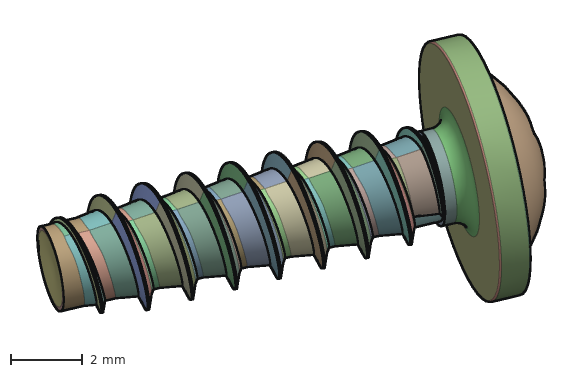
import cadquery as cq
import math


flange_radius = 7.5 / 2
flange_height = 0.92
flange_edge_fillet = 0.05
dome_base_radius = 2.98
dome_top = 2.36
slot_width = 0.9
slot_floor = 2.05

shank_length = 12.0
neck_radius = 1.365
neck_length = 0.85
neck_fillet = 0.5
core_radius = 1.226
tip_cone_radius = 1.1
tip_cone_depth = 0.1

thread_radius = 3.5 / 2
pitch = 1.288
points_per_turn = 12
crest_half_width = 0.03
crest_root_radius = 1.1
head_flank_knee_radius = 1.34
head_flank_knee_offset = 0.215
head_flank_root_offset = 0.39
tip_flank_root_offset = 0.24
ramp_high_radius = 1.345
ramp_low_radius = 1.22
ramp_length = 0.86
ramp_root_radius = 1.2

first_crest = -1.02
thread_start_turn = -0.25
start_lead = 0.4
lead_in_end_turn = 1
lead_in_slope = 0.22
lead_out_start_turn = 7
lead_out_slope = 0.35
thread_end_turn = 8.3
ramp_fade_slope = 0.08


def make_head():
    """Flange with softened rims under a spherical dome."""
    flange = (
        cq.Workplane("XZ")
        .circle(flange_radius)
        .extrude(-flange_height)
        .edges()
        .fillet(flange_edge_fillet)
    )
    dome_height = dome_top - flange_height
    sphere_radius = (dome_base_radius**2 + dome_height**2) / (2 * dome_height)
    sphere_center = dome_top - sphere_radius
    middle_angle = math.asin(dome_base_radius / sphere_radius) / 2
    arc_middle = (
        sphere_center + sphere_radius * math.cos(middle_angle),
        sphere_radius * math.sin(middle_angle),
    )
    dome_foot = flange_height / 2
    dome = (
        cq.Workplane("YZ")
        .moveTo(dome_foot, 0)
        .lineTo(dome_foot, dome_base_radius)
        .lineTo(flange_height, dome_base_radius)
        .threePointArc(arc_middle, (dome_top, 0))
        .close()
        .revolve(360, (0, 0), (1, 0))
    )
    return flange.union(dome)


def cut_cross_slots(head):
    """Two crossing slots over the full width of the dome."""
    slot_length = 2 * flange_radius
    slot_depth = dome_top - slot_floor
    for length_x, length_z in ((slot_length, slot_width), (slot_width, slot_length)):
        slot = cq.Workplane("XZ", origin=(0, slot_floor, 0)).rect(length_x, length_z)
        head = head.cut(slot.extrude(-slot_depth))
    return head


def make_shank():
    """Filleted neck and cylindrical core, with a shallow conical hollow in the tip."""
    fillet_outer = neck_radius + neck_fillet
    fillet_middle = neck_fillet * (1 - math.sqrt(0.5))
    embed = flange_height / 2
    return (
        cq.Workplane("YZ")
        .moveTo(embed, 0)
        .lineTo(embed, fillet_outer)
        .lineTo(0, fillet_outer)
        .threePointArc((-fillet_middle, neck_radius + fillet_middle), (-neck_fillet, neck_radius))
        .lineTo(-neck_length, neck_radius)
        .lineTo(-neck_length, core_radius)
        .lineTo(-shank_length, core_radius)
        .lineTo(-shank_length, tip_cone_radius)
        .lineTo(tip_cone_depth - shank_length, 0)
        .close()
        .revolve(360, (0, 0), (1, 0))
    )


def crest_axial(turn):
    """Axial position of the crest, with a flatter lead before the first full turn."""
    if turn < 0:
        return first_crest - start_lead * turn
    return first_crest - pitch * turn


def crest_drop(turn):
    """How far the crest sinks below the full thread radius near the two thread ends."""
    lead_in = lead_in_slope * (lead_in_end_turn - turn)
    lead_out = lead_out_slope * (turn - lead_out_start_turn)
    return max(0, lead_in, lead_out)


def ramp_drop(turn):
    """How far the ramp sinks into the core as the thread runs out at the tip."""
    return max(0, ramp_fade_slope * (turn - lead_out_start_turn))


def helical_ridge(profile, drop):
    """Right-handed solid around Y with a closed (axial offset, radius) profile, sewn turn by turn."""

    def point(turn, corner):
        offset, radius = corner
        angle = 2 * math.pi * turn
        local_radius = radius - drop(turn)
        return cq.Vector(
            -local_radius * math.sin(angle),
            crest_axial(turn) + offset,
            local_radius * math.cos(angle),
        )

    def helix(start, end, corner):
        steps = [start + (end - start) * i / points_per_turn for i in range(points_per_turn + 1)]
        return cq.Edge.makeSpline([point(turn, corner) for turn in steps])

    def end_cap(turn):
        corners = [point(turn, corner) for corner in profile]
        return cq.Face.makeFromWires(cq.Wire.makePolygon(corners, close=True))

    breaks = [thread_start_turn, *range(math.ceil(thread_end_turn)), thread_end_turn]
    faces = [end_cap(thread_start_turn), end_cap(thread_end_turn)]
    for start, end in zip(breaks, breaks[1:]):
        helices = [helix(start, end, corner) for corner in profile]
        for index, edge in enumerate(helices):
            faces.append(cq.Face.makeRuledSurface(helices[index - 1], edge))
    return cq.Workplane(cq.Solid.makeSolid(cq.Shell.makeShell(faces)))


def make_crest():
    """Thread ridge with a steep upper and a flared lower flank on the head side."""
    profile = [
        (head_flank_root_offset, crest_root_radius),
        (head_flank_knee_offset, head_flank_knee_radius),
        (crest_half_width, thread_radius),
        (-crest_half_width, thread_radius),
        (-tip_flank_root_offset, crest_root_radius),
    ]
    return helical_ridge(profile, crest_drop)


def make_ramp():
    """Core surface falling from each crest towards the tip, trimmed flush with the tip."""
    profile = [
        (0, ramp_root_radius),
        (0, ramp_high_radius),
        (-ramp_length, ramp_low_radius),
        (-ramp_length, ramp_root_radius),
    ]
    beyond_tip = (
        cq.Workplane("XZ", origin=(0, -shank_length, 0))
        .circle(2 * thread_radius)
        .extrude(2 * pitch)
    )
    return helical_ridge(profile, ramp_drop).cut(beyond_tip)


head = cut_cross_slots(make_head())
screw = head.union(make_shank())
result = screw.union(make_ramp()).union(make_crest())